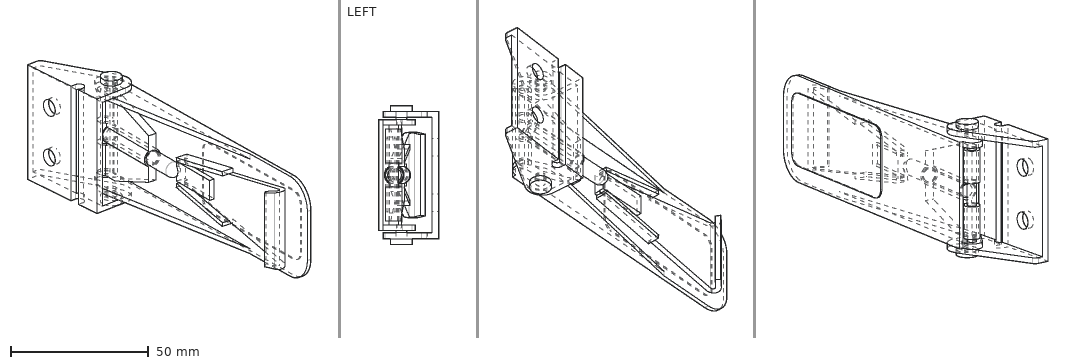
import cadquery as cq
import math


cross_pin_x = 24.0
cross_pin_y = 16.5
cross_pin_diameter = 3.5
hinge_x = 30.4
hinge_y = 13.7
hinge_diameter = 4.0
hinge_head_diameter = 8.0
hinge_head_height = 2.1
lever_tilt = 3.5
hook_tilt = 4.5

bracket_length = 38.0
bracket_width = 46.3
bracket_base_thickness = 2.6
bracket_side_thickness = 2.2
bracket_toe_height = 5.8
bracket_toe_radius = 2.1
bracket_slope = 25.6
bracket_ear_radius = 6.4
mount_hole_diameter = 6.4
mount_hole_x = 11.9
mount_hole_spacing = 20.0
cross_slot_x = 25.9
cross_slot_width = 4.0
cross_slot_depth = 4.1

lever_total_reach = 138.2
lever_width = 40.4
lever_plate_thickness = 1.7
lever_side_thickness = 2.1
lever_lug_radius = 3.9
lever_heel_slope = 29.0
lever_heel_run = 9.0
lever_heel_radius = 7.5
lever_side_end = 80.2
lever_corner_radius = 10.2
pad_start = 50.2
pad_end = 107.8
pad_width = 27.6
pad_height = 0.5
pad_corner_radius = 4.1

roller_diameter = 6.0
barrel_width = 33.5
barrel_notch_width = 8.8
barrel_notch_end = 2.9
sleeve_diameter = 7.2
sleeve_end = 28.3
web_taper_start = 8.2
web_tip_width = 18.8
bore_diameter = 5.0
countersink_diameter = 6.4

bolt_diameter = 6.0
stem_end = 40.4
hook_thickness = 2.1
hook_plate_start = 42.5
hook_plate_front = 2.4
hook_start_width = 8.3
hook_side_angle = 10.45
hook_reach = 104.7
hook_bend_inner_radius = 1.1
hook_bend_angle = 140.0
hook_tip_length = 3.7
tongue_width = 8.0
tongue_end = 62.5
ear_start = 43.5
ear_end = 71.2
ear_bottom = -0.4
ear_thickness = 1.7


def prism(outline, width):
    """Extrude an XY outline symmetrically about the middle plane."""
    return outline.extrude(width).translate((0, 0, -width / 2))


def block(x_start, x_end, y_start, y_end, width):
    """Box between two X and two Y limits, centred on the middle plane."""
    sketch = cq.Workplane("XY").center((x_start + x_end) / 2, (y_start + y_end) / 2)
    return prism(sketch.rect(x_end - x_start, y_end - y_start), width)


def z_rod(diameter, length):
    """Cylinder along Z through the origin, centred on the middle plane."""
    return prism(cq.Workplane("XY").circle(diameter / 2), length)


def x_rod(diameter, x_start, x_end):
    """Cylinder along the X axis."""
    return cq.Workplane("YZ", origin=(x_start, 0, 0)).circle(diameter / 2).extrude(x_end - x_start)


def plan_prism(points):
    """Tall prism whose outline lies in the XZ plane, used to trim parts in plan."""
    plan_depth = 83.0
    return cq.Workplane("XZ").polyline(points).close().extrude(plan_depth / 2, both=True)


def place_on_cross_pin(body, tilt):
    """Tilt a body drawn around the cross pin downwards and move it to the pin."""
    return body.rotate((0, 0, 0), (0, 0, 1), -tilt).translate((cross_pin_x, cross_pin_y, 0))


def make_bracket():
    """Base channel with two sloping sides, a cross slot and two mounting holes."""
    inner_width = bracket_width - 2 * bracket_side_thickness
    ear_corner_height = bracket_toe_height + bracket_length * math.tan(math.radians(bracket_slope))
    side_outline = cq.Workplane("XY").polyline([
        (0, 0), (bracket_length, 0), (bracket_length, ear_corner_height), (0, bracket_toe_height),
    ]).close()
    body = prism(side_outline, bracket_width)
    body = body.edges("|Z and >X and >Y").fillet(bracket_ear_radius)
    toe = cq.selectors.NearestToPointSelector((0, bracket_toe_height, 0))
    body = body.edges("|Z").edges(toe).fillet(bracket_toe_radius)
    body = body.cut(block(0, bracket_length, bracket_base_thickness, ear_corner_height, inner_width))

    slot_radius = cross_slot_width / 2
    slot_round_y = cross_slot_depth - slot_radius
    slot = block(cross_slot_x - slot_radius, cross_slot_x + slot_radius, 0, slot_round_y, bracket_width)
    slot = slot.union(z_rod(cross_slot_width, bracket_width).translate((cross_slot_x, slot_round_y, 0)))
    body = body.cut(slot)

    mount_holes = (
        cq.Workplane("XZ")
        .pushPoints([(mount_hole_x, side * mount_hole_spacing / 2) for side in (-1, 1)])
        .circle(mount_hole_diameter / 2)
        .extrude(-bracket_base_thickness)
    )
    hinge_holes = z_rod(hinge_diameter, bracket_width).translate((hinge_x, hinge_y, 0))
    return body.cut(mount_holes).cut(hinge_holes)


def make_lever_sides():
    """Two side walls: a round lug at the cross pin, a rounded heel and an edge rising to the plate."""
    slope = math.radians(lever_heel_slope)
    lug_tangent = (-lever_lug_radius * math.sin(slope), -lever_lug_radius * math.cos(slope))
    heel = (
        lug_tangent[0] + lever_heel_run * math.cos(slope),
        lug_tangent[1] - lever_heel_run * math.sin(slope),
    )
    outline = (
        cq.Workplane("XY")
        .moveTo(0, lever_lug_radius)
        .threePointArc((-lever_lug_radius, 0), lug_tangent)
        .lineTo(*heel)
        .lineTo(lever_side_end, lever_lug_radius)
        .close()
    )
    sides = prism(outline, lever_width)
    heel_edge = cq.selectors.NearestToPointSelector((heel[0], heel[1], 0))
    sides = sides.edges("|Z").edges(heel_edge).fillet(lever_heel_radius)
    channel_width = lever_width - 2 * lever_side_thickness
    channel = block(-lever_lug_radius, lever_side_end, heel[1], lever_lug_radius, channel_width)
    return sides.cut(channel)


def make_lever():
    """Tilted handle plate with side walls, cross pin and two headed hinge studs."""
    tilt = math.radians(lever_tilt)
    plate_top = lever_lug_radius + lever_plate_thickness
    plate_length = (lever_total_reach - cross_pin_x - plate_top * math.sin(tilt)) / math.cos(tilt)
    plate = block(0, plate_length, lever_lug_radius, plate_top, lever_width)
    plate = plate.edges("|Y and >X").fillet(lever_corner_radius)
    pad = block(pad_start, pad_end, plate_top, plate_top + pad_height, pad_width)
    pad = pad.edges("|Y").fillet(pad_corner_radius)
    cross_pin = z_rod(cross_pin_diameter, lever_width - 2 * lever_side_thickness)
    lever = plate.union(pad).union(make_lever_sides()).union(cross_pin)
    lever = place_on_cross_pin(lever, lever_tilt)

    stud_start = lever_width / 2 - lever_side_thickness
    head_start = bracket_width / 2
    stud = cq.Workplane("XY", origin=(hinge_x, hinge_y, stud_start))
    stud = stud.circle(hinge_diameter / 2).extrude(head_start - stud_start)
    stud = stud.faces(">Z").workplane().circle(hinge_head_diameter / 2).extrude(hinge_head_height)
    return lever.union(stud).union(stud.mirror("XY"))


def make_barrel():
    """Roller on the cross pin with a tapered web and a bored sleeve for the bolt."""
    half_width = barrel_width / 2
    half_tip = web_tip_width / 2
    web = block(0, sleeve_end, -cross_pin_diameter / 2, cross_pin_diameter / 2, barrel_width)
    web = web.intersect(plan_prism([
        (0, -half_width), (web_taper_start, -half_width), (sleeve_end, -half_tip),
        (sleeve_end, half_tip), (web_taper_start, half_width), (0, half_width),
    ]))
    body = z_rod(roller_diameter, barrel_width).union(web)
    notch_reach = roller_diameter
    body = body.cut(block(-notch_reach, barrel_notch_end, -notch_reach, notch_reach, barrel_notch_width))
    body = body.union(x_rod(sleeve_diameter, barrel_notch_end, sleeve_end))
    body = body.cut(x_rod(bore_diameter, barrel_notch_end, sleeve_end))
    body = body.cut(z_rod(cross_pin_diameter, barrel_width))

    countersink_depth = (countersink_diameter - bore_diameter) / 2
    countersink = cq.Workplane("YZ", origin=(barrel_notch_end, 0, 0)).circle(countersink_diameter / 2)
    countersink = countersink.workplane(offset=countersink_depth).circle(bore_diameter / 2).loft()
    return place_on_cross_pin(body.cut(countersink), hook_tilt)


def make_bolt():
    """Bolt with a thin tail inside the sleeve and a domed stem outside it."""
    tail_start = barrel_notch_end + (countersink_diameter - bore_diameter) / 2
    tail = x_rod(bore_diameter, tail_start, sleeve_end)
    stem = x_rod(bolt_diameter, sleeve_end, stem_end)
    dome = cq.Workplane("XY").sphere(bolt_diameter / 2).translate((stem_end, 0, 0))
    return tail.union(stem).union(dome)


def make_hook_sheet():
    """Plate that widens towards a bent-back catch, trimmed to a trapezoid in plan."""
    outer_radius = hook_bend_inner_radius + hook_thickness
    plate_back = hook_plate_front + hook_thickness
    bend_x = hook_reach - outer_radius
    bend_y = hook_plate_front - hook_bend_inner_radius
    turn = math.radians(hook_bend_angle)

    def bend_point(radius, angle):
        return (bend_x + radius * math.sin(angle), bend_y + radius * math.cos(angle))

    def tip_point(radius):
        x, y = bend_point(radius, turn)
        return (x + hook_tip_length * math.cos(turn), y - hook_tip_length * math.sin(turn))

    outline = (
        cq.Workplane("XY")
        .moveTo(hook_plate_start, plate_back)
        .lineTo(bend_x, plate_back)
        .threePointArc(bend_point(outer_radius, turn / 2), bend_point(outer_radius, turn))
        .lineTo(*tip_point(outer_radius))
        .lineTo(*tip_point(hook_bend_inner_radius))
        .lineTo(*bend_point(hook_bend_inner_radius, turn))
        .threePointArc(bend_point(hook_bend_inner_radius, turn / 2), (bend_x, hook_plate_front))
        .lineTo(hook_plate_start, hook_plate_front)
        .close()
    )
    start_half = hook_start_width / 2
    end_half = start_half + (hook_reach - hook_plate_start) * math.tan(math.radians(hook_side_angle))
    trapezoid = plan_prism([
        (hook_plate_start, -start_half), (hook_reach, -end_half),
        (hook_reach, end_half), (hook_plate_start, start_half),
    ])
    return prism(outline, 2 * end_half).intersect(trapezoid)


def make_hook_ear():
    """Flange standing along the +Z side of the hook plate."""
    side_angle = math.radians(hook_side_angle)
    edge_start = (ear_start - hook_plate_start) / math.cos(side_angle)
    edge_end = (ear_end - hook_plate_start) / math.cos(side_angle)
    plate_back = hook_plate_front + hook_thickness
    ear = cq.Workplane("XY").box(
        edge_end - edge_start, plate_back - ear_bottom, ear_thickness, centered=False
    )
    ear = ear.translate((edge_start, ear_bottom, 0))
    ear = ear.rotate((0, 0, 0), (0, 1, 0), -hook_side_angle)
    return ear.translate((hook_plate_start, 0, hook_start_width / 2))


def make_hook():
    """Catch plate with two ears and a tongue that joins it to the bolt."""
    tongue = block(
        hook_plate_start, tongue_end, hook_plate_front - hook_thickness, hook_plate_front, tongue_width
    )
    ear = make_hook_ear()
    hook = make_hook_sheet().union(tongue).union(ear).union(ear.mirror("XY")).union(make_bolt())
    return place_on_cross_pin(hook, hook_tilt)


bracket = make_bracket()
lever = make_lever()
barrel = make_barrel()
hook = make_hook()

result = cq.Compound.makeCompound([body.solids().val() for body in (bracket, lever, barrel, hook)])